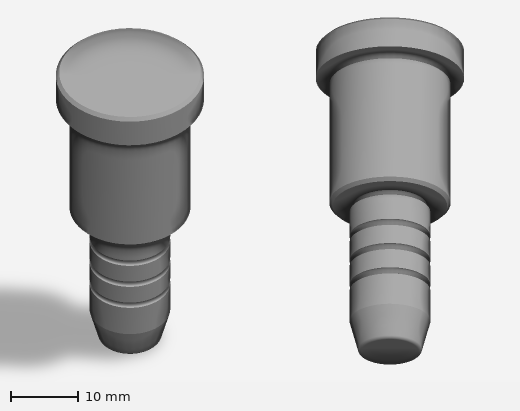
import cadquery as cq
import math

total_height = 50.0

head_radius = 11.0
head_height = 5.0
head_chamfer = 0.5

body_radius = 9.0
body_bottom = 24.0
body_chamfer = 0.5

neck_radius = 5.5
neck_height = 1.0

shank_radius = 6.0
taper_height = 5.0
taper_angle = 15.0
tip_fillet = 0.5

groove_radius = 0.5
first_shank_groove_height = 10.5
shank_groove_pitch = 4.0
shank_groove_count = 3

head_bottom = total_height - head_height
shank_top = body_bottom - neck_height
tip_radius = shank_radius - taper_height * math.tan(math.radians(taper_angle))


def cylinder(radius, bottom, top):
    return cq.Workplane("XY").workplane(offset=bottom).circle(radius).extrude(top - bottom)


def groove_ring(surface_radius, center_height):
    """Torus whose tube is centred on the surface of a cylinder."""
    return cq.Workplane(
        cq.Solid.makeTorus(surface_radius, groove_radius, cq.Vector(0, 0, center_height))
    )


def make_head():
    return cylinder(head_radius, head_bottom, total_height).faces(">Z").chamfer(head_chamfer)


def make_body():
    body = cylinder(body_radius, body_bottom, head_bottom).faces("<Z").chamfer(body_chamfer)
    return body.cut(groove_ring(body_radius, head_bottom - groove_radius))


def make_shank():
    shank = (
        cq.Workplane("XZ")
        .polyline([
            (0, 0),
            (tip_radius, 0),
            (shank_radius, taper_height),
            (shank_radius, shank_top),
            (0, shank_top),
        ])
        .close()
        .revolve(360, (0, 0), (0, 1))
    )
    shank = shank.faces("<Z").edges().fillet(tip_fillet)
    for index in range(shank_groove_count):
        height = first_shank_groove_height + index * shank_groove_pitch
        shank = shank.cut(groove_ring(shank_radius, height))
    return shank


neck = cylinder(neck_radius, shank_top, body_bottom)
result = make_shank().union(neck).union(make_body()).union(make_head())